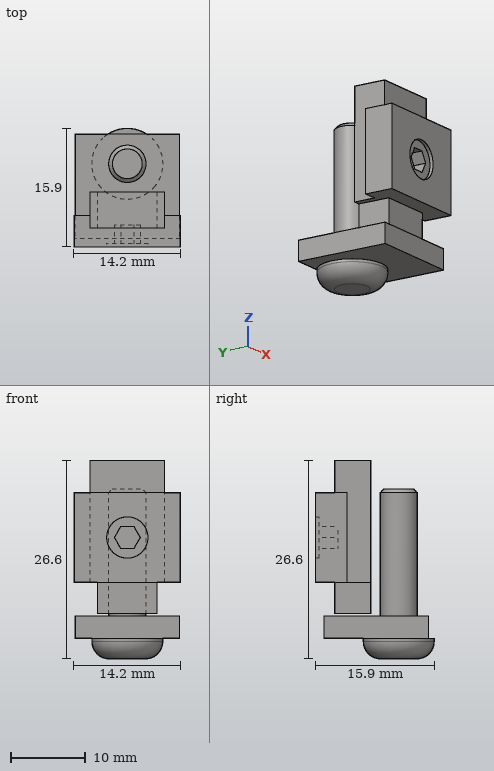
import cadquery as cq
import math


plate_side = 14.0
plate_thickness = 3.0
plate_back_y = 3.98

shank_diameter = 5.0
shank_length = 17.0
shank_chamfer = 0.5
head_diameter = 9.5
head_height = 2.75
head_rim_height = 0.4

clamp_gap = 0.3
block_width = 14.2
block_height = 12.0
block_depth = 4.22
block_front_y = -11.15
tongue_depth = 4.83
tongue_back_y = -3.75
upper_tongue_width = 10.0
lower_tongue_width = 8.0
upper_tongue_rise = 4.3
lower_tongue_drop = 4.2

recess_diameter = 5.52
recess_depth = 0.5
socket_across_flats = 3.0
socket_depth = 2.5

block_bottom_z = clamp_gap + lower_tongue_drop
block_middle_z = block_bottom_z + block_height / 2


def box_behind(width, depth, height, front_y, bottom_z):
    """Box centred on X = 0 that extends back and up from its front lower edge."""
    box = cq.Workplane("XY").box(width, depth, height, centered=(True, False, False))
    return box.translate((0, front_y, bottom_z))


def make_screw():
    """Chamfered shank above the plate and domed head below it."""
    shank = cq.Workplane("XY").circle(shank_diameter / 2).extrude(shank_length)
    shank = shank.faces(">Z").edges().chamfer(shank_chamfer)
    head = (
        cq.Workplane("XY", origin=(0, 0, -plate_thickness))
        .circle(head_diameter / 2)
        .extrude(-head_height)
    )
    head = head.faces("<Z").edges().fillet(head_height - head_rim_height)
    return shank, head


def make_base():
    """Base plate and screw as one solid."""
    plate = box_behind(
        plate_side, plate_side, plate_thickness, plate_back_y - plate_side, -plate_thickness
    )
    shank, head = make_screw()
    return plate.union(shank).union(head)


def cut_socket(block):
    """Cut the round recess and, from its floor, the hexagonal socket."""
    front_plane = cq.Workplane("XZ", origin=(0, block_front_y, block_middle_z))
    recess = front_plane.circle(recess_diameter / 2).extrude(-recess_depth)
    socket_across_corners = socket_across_flats / math.cos(math.pi / 6)
    socket = (
        front_plane.workplane(offset=-recess_depth)
        .polygon(6, socket_across_corners)
        .extrude(-socket_depth)
    )
    return block.cut(recess).cut(socket)


def make_clamp():
    """Block on the front of a tongue that is wider from the block's lower face up."""
    tongue_front_y = tongue_back_y - tongue_depth
    block = box_behind(block_width, block_depth, block_height, block_front_y, block_bottom_z)
    upper_tongue = box_behind(
        upper_tongue_width,
        tongue_depth,
        block_height + upper_tongue_rise,
        tongue_front_y,
        block_bottom_z,
    )
    lower_tongue = box_behind(
        lower_tongue_width, tongue_depth, lower_tongue_drop, tongue_front_y, clamp_gap
    )
    return cut_socket(block.union(upper_tongue).union(lower_tongue))


base = make_base()
clamp = make_clamp()
result = cq.Compound.makeCompound([base.val(), clamp.val()])